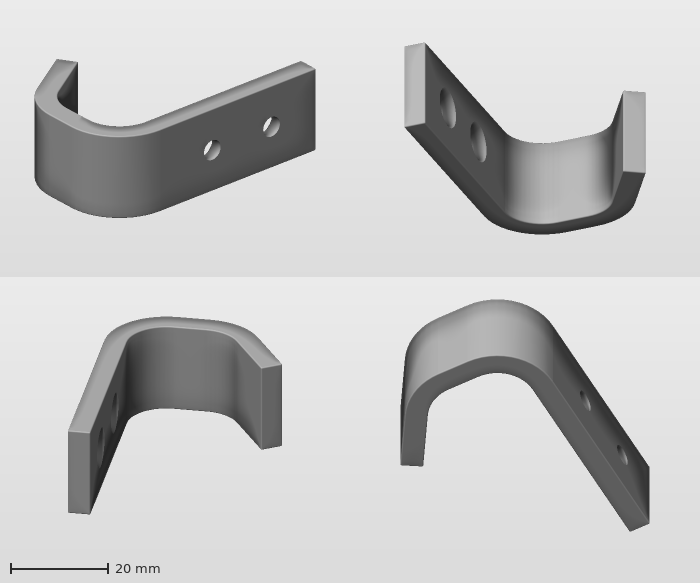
import cadquery as cq
import math

width = 37.9
length = 55.0
height = 19.0

thickness = 4.75
outer_radius = 13.0
inner_radius = outer_radius - thickness
arm_angle = 57.5
base_length = 6.9
edge_fillet = 0.3

hole_diameter = 4.5
countersink_diameter = 8.5
countersink_angle = 90.0
hole_pitch = 16.0
first_hole_offset = 12.0

bend_y = outer_radius
back_bend_x = -outer_radius
arm_bend_x = back_bend_x - base_length
arm_cos = math.cos(math.radians(arm_angle))
arm_sin = math.sin(math.radians(arm_angle))
sharp_width = width + edge_fillet * (arm_cos + arm_sin - 1)
arm_run = sharp_width - outer_radius - base_length - outer_radius * arm_sin
arm_length = arm_run / arm_cos


def arm_bend_point(radius, turn):
    """Point on the arm bend, turned by an angle in degrees from the base."""
    angle = math.radians(turn)
    return (arm_bend_x - radius * math.sin(angle), bend_y - radius * math.cos(angle))


def back_bend_middle(radius):
    """Middle point of the quarter bend into the back plate."""
    offset = radius * math.sqrt(0.5)
    return (back_bend_x + offset, bend_y - offset)


def arm_tip(radius):
    """End of the arm face that continues a bend of the given radius."""
    x, y = arm_bend_point(radius, arm_angle)
    return (x - arm_length * arm_cos, y + arm_length * arm_sin)


def make_hook():
    profile = (
        cq.Workplane("XY", origin=(0, 0, -height / 2))
        .moveTo(0, length)
        .lineTo(0, bend_y)
        .threePointArc(back_bend_middle(outer_radius), (back_bend_x, 0))
        .lineTo(arm_bend_x, 0)
        .threePointArc(
            arm_bend_point(outer_radius, arm_angle / 2),
            arm_bend_point(outer_radius, arm_angle),
        )
        .lineTo(*arm_tip(outer_radius))
        .lineTo(*arm_tip(inner_radius))
        .lineTo(*arm_bend_point(inner_radius, arm_angle))
        .threePointArc(
            arm_bend_point(inner_radius, arm_angle / 2),
            arm_bend_point(inner_radius, 0),
        )
        .lineTo(back_bend_x, thickness)
        .threePointArc(back_bend_middle(inner_radius), (-thickness, bend_y))
        .lineTo(-thickness, length)
        .close()
    )
    return profile.extrude(height)


def round_edges(hook):
    """Round both side outlines and the upright edges at the two strip ends."""
    back_end_edges = hook.faces(">Y").edges("|Z")
    arm_end_direction = cq.Vector(-arm_cos, arm_sin, 0)
    arm_end = hook.faces(cq.selectors.DirectionSelector(arm_end_direction))
    arm_end_edges = arm_end.edges("|Z")
    outline_edges = hook.faces("|Z").edges()
    return outline_edges.add(back_end_edges).add(arm_end_edges).fillet(edge_fillet)


def drill_holes(hook):
    first_y = length - first_hole_offset
    centers = [(-first_y, 0), (-(first_y - hole_pitch), 0)]
    inner_face = cq.Plane(origin=(-thickness, 0, 0), xDir=(0, -1, 0), normal=(-1, 0, 0))
    return (
        hook.copyWorkplane(cq.Workplane(inner_face))
        .pushPoints(centers)
        .cskHole(hole_diameter, countersink_diameter, countersink_angle, depth=thickness)
    )


result = drill_holes(round_edges(make_hook()))